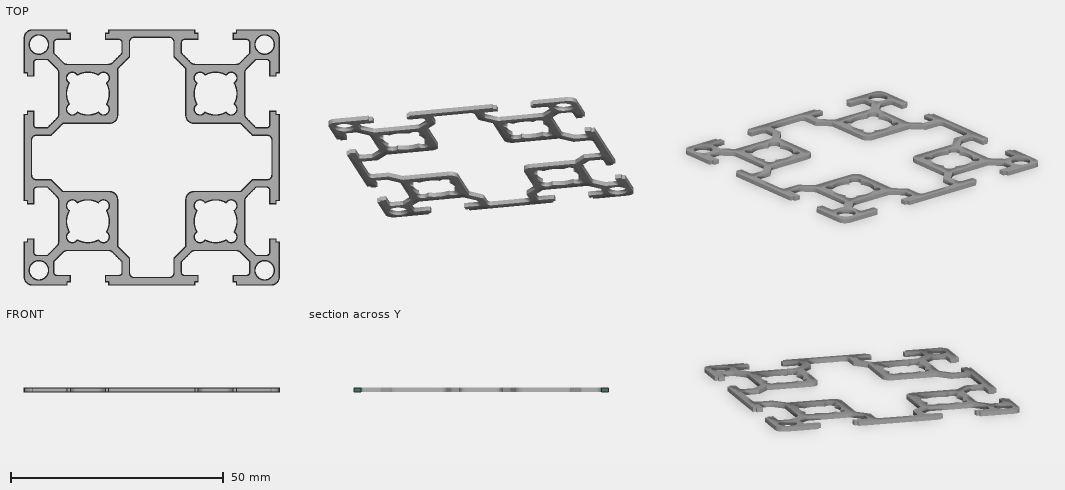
import cadquery as cq

side = 60
thickness = 1.0
half_side = side / 2
module_offset = side / 4

corner_radius = 2.0
corner_hole_diameter = 4.5
corner_hole_inset = 3.5

mouth_width = 9.7
mouth_depth = 0.8
throat_width = 8.2
lip_depth = 2.3
slot_width = 16.0
slot_depth = 8.1
slot_floor_width = 10.85
slot_corner_radius = 0.7
slot_floor_radius = 1.2

core_diameter = 10.0
lobe_diameter = 2.7
lobe_offset = 3.65

outer_wall = 1.8
arm_width = 10.4
arm_corner_radius = 1.0
cavity_half_width = 8.0
shoulder = 20.9
box_corner_radius = 2.0

selection_margin = 0.6


def make_blank():
    blank = cq.Workplane("XY").rect(side, side).extrude(thickness)
    return blank.edges("|Z").fillet(corner_radius)


def round_pair(slot, half_width, depth, radius):
    """Round the two slot corners at this depth, one on each side of the module centre line."""
    for direction in (-1, 1):
        corner = (module_offset + direction * half_width, half_side - depth, thickness / 2)
        slot = slot.edges(cq.selectors.NearestToPointSelector(corner)).fillet(radius)
    return slot


def make_slot():
    """T-slot on the +Y side, centred on the +X module."""
    taper = (slot_width - slot_floor_width) / 2
    half_outline = [
        (mouth_width / 2, 0),
        (mouth_width / 2, mouth_depth),
        (throat_width / 2, mouth_depth),
        (throat_width / 2, lip_depth),
        (slot_width / 2, lip_depth),
        (slot_width / 2, slot_depth - taper),
        (slot_floor_width / 2, slot_depth),
    ]
    outline = half_outline + [(-x, depth) for x, depth in reversed(half_outline)]
    points = [(module_offset + x, half_side - depth) for x, depth in outline]
    slot = cq.Workplane("XY").polyline(points).close().extrude(thickness)
    slot = round_pair(slot, slot_width / 2, lip_depth, slot_corner_radius)
    return round_pair(slot, slot_floor_width / 2, slot_depth, slot_floor_radius)


def make_core():
    """Module core, centred on the origin."""
    bore = cq.Workplane("XY").circle(core_diameter / 2).extrude(thickness)
    lobes = (
        cq.Workplane("XY")
        .rect(2 * lobe_offset, 2 * lobe_offset, forConstruction=True)
        .vertices()
        .circle(lobe_diameter / 2)
        .extrude(thickness)
    )
    return bore.union(lobes)


def make_cavity_arm():
    """Opposite pair of cavity arms running along Y, wider where they pass the box walls."""
    arm_half_width = arm_width / 2
    tip = half_side - outer_wall
    taper = cavity_half_width - arm_half_width
    quarter_outline = [
        (arm_half_width, tip),
        (arm_half_width, shoulder + taper),
        (cavity_half_width, shoulder),
    ]
    right = quarter_outline + [(x, -y) for x, y in reversed(quarter_outline)]
    left = [(-x, -y) for x, y in right]
    arm = cq.Workplane("XY").polyline(right + left).close().extrude(thickness)
    return arm.edges("|Z and (>Y or <Y)").fillet(arm_corner_radius)


def make_cavity():
    """Two crossing arm pairs with the box-wall corners rounded."""
    arm = make_cavity_arm()
    cross = arm.union(arm.rotate((0, 0, 0), (0, 0, 1), 90))
    reach = cavity_half_width + selection_margin
    near_axis = cq.selectors.BoxSelector((-reach, -reach, -reach), (reach, reach, reach))
    return cross.edges("|Z").edges(near_axis).fillet(box_corner_radius)


slot = make_slot()
core = make_core().translate((module_offset, module_offset, 0))
cutters = (slot, slot.mirror("YZ"), core)
result = make_blank().cut(make_cavity())
for turn in range(4):
    for cutter in cutters:
        result = result.cut(cutter.rotate((0, 0, 0), (0, 0, 1), 90 * turn))

hole_spacing = side - 2 * corner_hole_inset
result = (
    result.faces(">Z")
    .workplane(origin=(0, 0))
    .rect(hole_spacing, hole_spacing, forConstruction=True)
    .vertices()
    .hole(corner_hole_diameter)
)